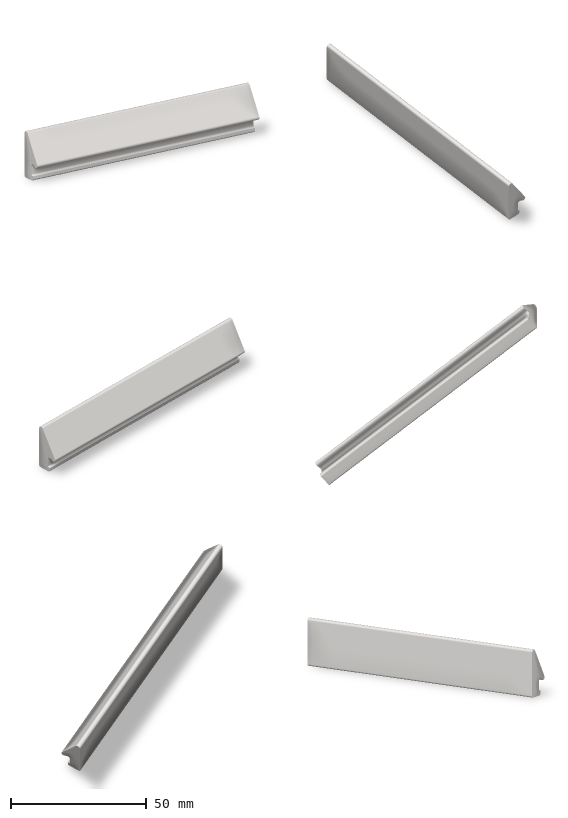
import cadquery as cq
import math

width = 8.2
length = 100.0
height = 18.1

foot_width = 5.4
foot_height = 1.8
neck_width = 4.5

crest_radius = 1.0
nose_radius = 0.9
slope_angle = math.radians(30)
roof_angle = math.radians(30)

bottom_radius = 0.7
foot_tip_radius = 0.1
groove_roof_radius = 0.9
groove_floor_radius = 0.7

crest_center_x = crest_radius
crest_center_z = height - crest_radius


def slope_x(z):
    """X of the sloping face, tangent to the crest, at height z."""
    offset = crest_radius / math.cos(slope_angle)
    return crest_center_x + offset - (z - crest_center_z) * math.tan(slope_angle)


nose_center_x = width - nose_radius
slope_run = nose_center_x + nose_radius / math.cos(slope_angle) - slope_x(crest_center_z)
nose_center_z = crest_center_z - slope_run / math.tan(slope_angle)


def roof_z(x):
    """Z of the groove roof, tangent to the nose, at position x."""
    offset = nose_radius / math.cos(roof_angle)
    return nose_center_z - offset - (x - nose_center_x) * math.tan(roof_angle)


lip_x = slope_x(roof_z(0)) / (1 - math.tan(slope_angle) * math.tan(roof_angle))

profile_corners = [
    (0, 0, bottom_radius),
    (foot_width, 0, bottom_radius),
    (foot_width, foot_height, foot_tip_radius),
    (neck_width, foot_height, groove_floor_radius),
    (neck_width, roof_z(neck_width), groove_roof_radius),
    (lip_x, roof_z(lip_x), nose_radius),
]

crest_start = (
    crest_center_x + crest_radius * math.cos(slope_angle),
    crest_center_z + crest_radius * math.sin(slope_angle),
)
crest_top = (crest_center_x, height)
crest_end = (0, crest_center_z)

result = (
    cq.Workplane("XZ", origin=(0, length / 2, 0))
    .polyline([(x, z) for x, z, _ in profile_corners])
    .lineTo(*crest_start)
    .threePointArc(crest_top, crest_end)
    .close()
    .extrude(length)
)

for x, z, radius in profile_corners:
    edge_selector = cq.selectors.NearestToPointSelector((x, 0, z))
    result = result.edges("|Y").edges(edge_selector).fillet(radius)